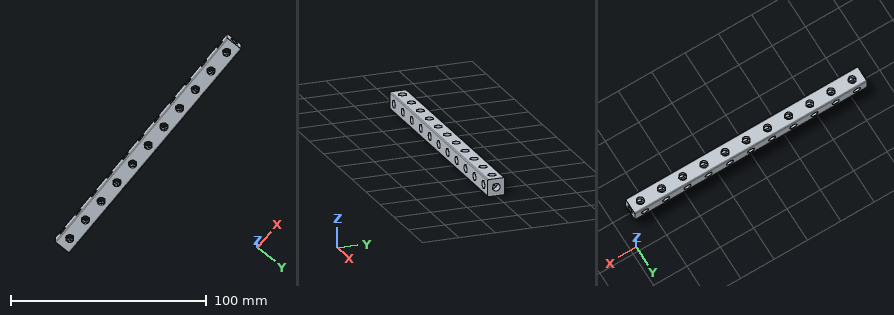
import cadquery as cq

length = 139.2
side = 9.5
corner_radius = 0.53

hole_diameter = 4.0
hole_count = 11
hole_span = 127.0
hole_pitch = hole_span / (hole_count - 1)


def beam_body():
    """Square bar with its four long edges rounded."""
    return cq.Workplane("XY").box(length, side, side).edges("|X").fillet(corner_radius)


def through_hole(plane, depth):
    """Cylinder centred on the origin, along the normal of the given plane."""
    return cq.Workplane(plane).circle(hole_diameter / 2).extrude(depth / 2, both=True)


result = beam_body().cut(through_hole("YZ", length))

for index in range(hole_count):
    x = index * hole_pitch - hole_span / 2
    for plane in ("XY", "XZ"):
        result = result.cut(through_hole(plane, side).translate((x, 0, 0)))